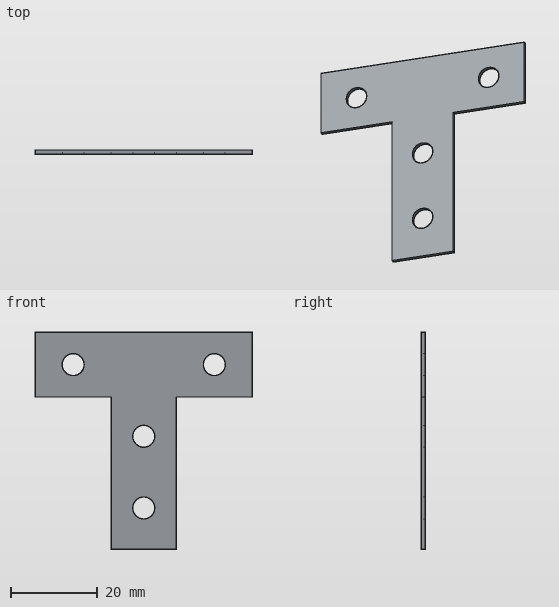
import cadquery as cq

width = 50.0
height = 50.0
thickness = 1.0
arm_width = 15.0

hole_diameter = 5.0
bar_hole_spacing = 32.5
lower_hole_height = 9.5
stem_hole_spacing = 16.5

top = height / 2
bottom = -height / 2
bar_center_z = top - arm_width / 2
lower_hole_z = bottom + lower_hole_height


def make_plate():
    """T-shaped plate: a crossbar joined to a full-height stem."""
    crossbar = cq.Workplane("XY").box(width, thickness, arm_width).translate((0, 0, bar_center_z))
    stem = cq.Workplane("XY").box(arm_width, thickness, height)
    return crossbar.union(stem).clean()


def make_holes():
    """Through-hole cutters: two in the crossbar and two along the stem."""
    centers = [
        (-bar_hole_spacing / 2, bar_center_z),
        (bar_hole_spacing / 2, bar_center_z),
        (0, lower_hole_z),
        (0, lower_hole_z + stem_hole_spacing),
    ]
    return (
        cq.Workplane("XZ", origin=(0, thickness / 2, 0))
        .pushPoints(centers)
        .circle(hole_diameter / 2)
        .extrude(thickness)
    )


result = make_plate().cut(make_holes())